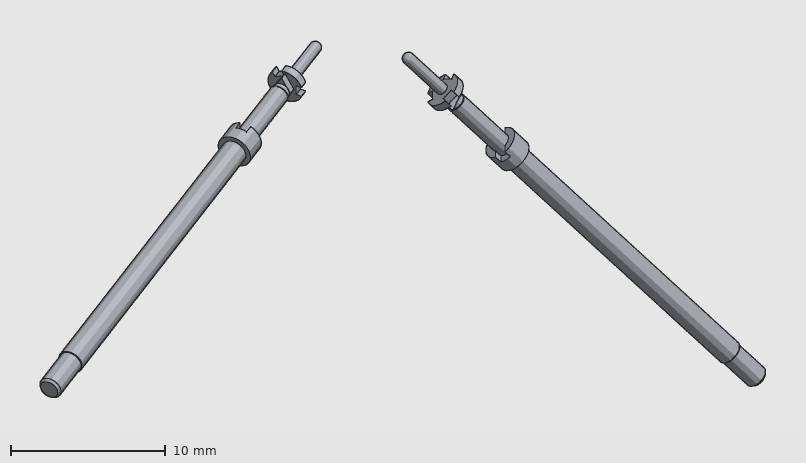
import cadquery as cq
import math

length = 37.0
rear_end = length / 2
front_end = -length / 2

flange_rear = 14.58
flange_front = 14.0
key_front = 13.5
sleeve_rear = 13.15
collar_rear = 8.5
collar_front = 7.0
barrel_front = -15.55

pin_diameter = 0.8
flange_diameter = 2.5
neck_diameter = 1.2
sleeve_diameter = 1.35
collar_diameter = 2.35
barrel_diameter = 1.7
tip_diameter = 1.55

pin_round = 0.35
tip_chamfer_length = 0.2
tip_chamfer_depth = 0.15

flange_slot_count = 3
flange_slot_width = 0.78
flange_slot_floor = 0.8

key_height = 2.22
key_width = key_height * math.tan(math.radians(30))

collar_slot_width = 0.78
collar_slot_depth = 0.55


def cylinder(diameter, y_front, y_rear):
    """Cylinder about the Y axis between two stations."""
    start = cq.Workplane("XZ", origin=(0, y_rear, 0))
    return start.circle(diameter / 2).extrude(y_rear - y_front)


def make_pin():
    pin = cylinder(pin_diameter, flange_front, rear_end)
    return pin.faces(">Y").edges().fillet(pin_round)


def make_flange():
    flange = cylinder(flange_diameter, flange_front, flange_rear)
    slot = cq.Workplane("XY").box(
        flange_diameter,
        flange_rear - flange_front,
        flange_slot_width,
        centered=(False, False, True),
    ).translate((flange_slot_floor, flange_front, 0))
    for index in range(flange_slot_count):
        angle = index * 360 / flange_slot_count
        flange = flange.cut(slot.rotate((0, 0, 0), (0, 1, 0), angle))
    return flange


def make_key():
    corners = [
        (key_width / 2, 0),
        (0, key_height / 2),
        (-key_width / 2, 0),
        (0, -key_height / 2),
    ]
    start = cq.Workplane("XZ", origin=(0, flange_front, 0))
    return start.polyline(corners).close().extrude(flange_front - key_front)


def make_collar():
    collar = cylinder(collar_diameter, collar_front, collar_rear)
    slot = cq.Workplane("XY").box(
        collar_slot_width,
        collar_slot_depth,
        collar_diameter,
        centered=(True, False, True),
    )
    return collar.cut(slot.translate((0, collar_rear - collar_slot_depth, 0)))


def make_tip():
    tip = cylinder(tip_diameter, front_end, barrel_front)
    return tip.faces("<Y").chamfer(tip_chamfer_length, tip_chamfer_depth)


neck = cylinder(neck_diameter, sleeve_rear, key_front)
sleeve = cylinder(sleeve_diameter, collar_front, sleeve_rear)
barrel = cylinder(barrel_diameter, barrel_front, collar_front)

result = (
    make_pin()
    .union(make_flange())
    .union(make_key())
    .union(neck)
    .union(sleeve)
    .union(make_collar())
    .union(barrel)
    .union(make_tip())
)